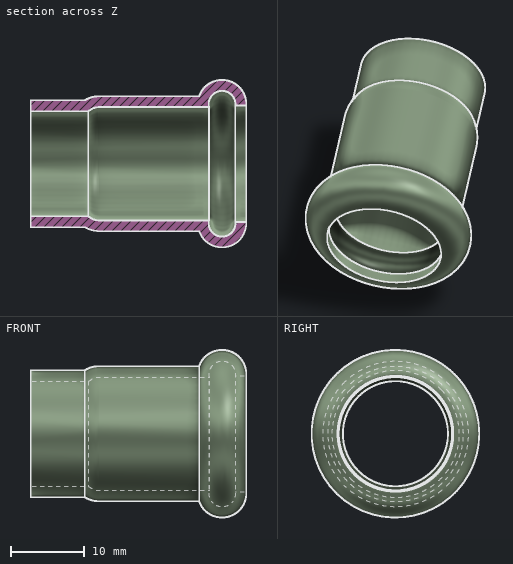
import cadquery as cq
import math

length = 29.2
tube_radius = 17.2 / 2
bore_radius = 14.2 / 2
sleeve_radius = 18.3 / 2
mouth_radius = 15.7 / 2
bead_outer_radius = 22.72 / 2
bead_section_radius = 3.3
shoulder_start = 7.33
shoulder_end = 9.23

wall = tube_radius - bore_radius
socket_radius = sleeve_radius - wall

bead_x = length - bead_section_radius
bead_r = bead_outer_radius - bead_section_radius

shoulder_rise = sleeve_radius - tube_radius
shoulder_run = shoulder_end - shoulder_start
shoulder_arc_radius = (shoulder_run**2 + shoulder_rise**2) / (2 * shoulder_rise)
shoulder_center_r = sleeve_radius - shoulder_arc_radius


def axial_reach(arc_radius, offset):
    """Axial half-width of a circle at a radial offset from its centre."""
    return math.sqrt(arc_radius**2 - offset**2)


def stepped_body(small_radius, large_radius, arc_radius, bead_radius):
    """Solid of the tube, rounded shoulder, sleeve and bead, closed by a flat end."""
    arc_start = shoulder_end - axial_reach(arc_radius, small_radius - shoulder_center_r)
    mid_r = (small_radius + large_radius) / 2
    arc_mid = shoulder_end - axial_reach(arc_radius, mid_r - shoulder_center_r)
    bead_start = bead_x - axial_reach(bead_radius, large_radius - bead_r)
    bead_end = bead_x + bead_radius
    profile = (
        cq.Workplane("XY")
        .moveTo(0, 0)
        .lineTo(0, small_radius)
        .lineTo(arc_start, small_radius)
        .threePointArc((arc_mid, mid_r), (shoulder_end, large_radius))
        .lineTo(bead_start, large_radius)
        .threePointArc((bead_x, bead_r + bead_radius), (bead_end, bead_r))
        .lineTo(bead_end, 0)
        .close()
    )
    return profile.revolve(360, (0, 0, 0), (1, 0, 0))


outside = stepped_body(tube_radius, sleeve_radius, shoulder_arc_radius, bead_section_radius)
inside = stepped_body(
    bore_radius, socket_radius, shoulder_arc_radius - wall, bead_section_radius - wall
)
mouth = cq.Workplane("YZ").workplane(offset=bead_x).circle(mouth_radius).extrude(bead_section_radius)

result = outside.cut(inside).cut(mouth)